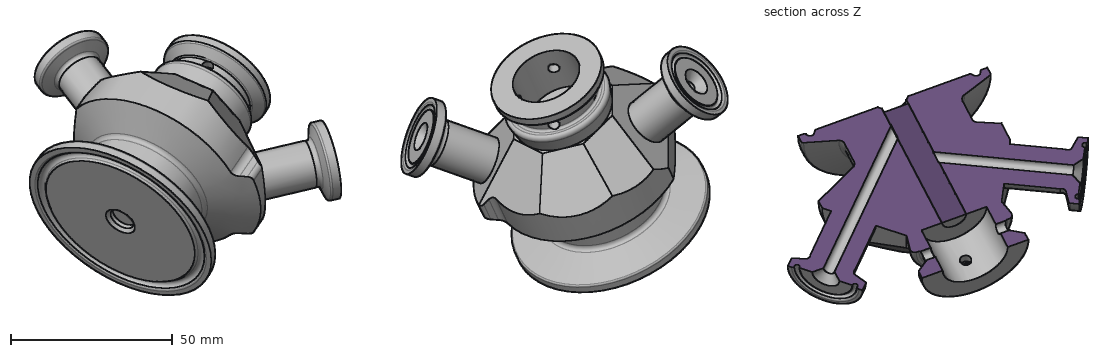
import cadquery as cq
import math

LENGTH = 64.0

TANK_FLANGE_R = 64.0 / 2
TANK_FLANGE_THICK = 2.5
TANK_CONE_START_R = 31.5
TANK_CONE_START_Y = 3.1
TANK_CONE_TOP_R = 21.2
TANK_CONE_TOP_Y = 6.7
NECK_R = 40.0 / 2
NECK_START_Y = 8.5
NECK_END_Y = 15.9
BODY_CONE_R = 21.1
BODY_CONE_Y = 17.4
BODY_CONE_SLOPE = 0.5

BODY_R = 62.1 / 2
LOBE_R = 35.9
LOBE_HALF_WIDTH = 14.6
LOBE_ROOT_FILLET = 3.1
LOBE_CORNER_FILLET = 2.1
EDGE_SEARCH = 1.0
SIDE_FLAT_X = -27.7
SHOULDER_Y = 47.6
SHOULDER_APOTHEM = 16.1
FACET_COUNT = 8

COLLAR_LIP_R = 17.1
COLLAR_LIP_Y = 52.6
COLLAR_END_Y = 54.5
COLLAR_ROUND = 1.3
GROOVE_NECK_R = 14.1
GROOVE_NECK_END_Y = 58.1
GROOVE_FILLET = 0.8
REAR_CONE_START_R = 14.5
REAR_CONE_START_Y = 58.7
REAR_CONE_END_R = 17.6
REAR_CONE_END_Y = 60.9
REAR_FLANGE_R = 36.0 / 2
REAR_FLANGE_START_Y = 61.4

REAR_BORE_R = 21.8 / 2
STEM_R = 8.0 / 2
SEAT_R = 5.1
SEAT_DEPTH = 1.0
STEM_TIP_Y = 2.5
VENT_D = 3.5
VENT_Y = 56.5
VENT_COUNT = 4

TANK_SEAL_OUTER_R = 30.2
TANK_SEAL_INNER_R = 26.2
PORT_SEAL_OUTER_R = 11.2
PORT_SEAL_INNER_R = 8.2
PORT_RECESS = 0.6
SEAL_DEPTH = 1.6
SEAL_LIP = 0.8
SEAL_LIP_DEPTH = 0.4
SEAL_INNER_RUN = 0.6

PORT_TUBE_R = 7.5
PORT_FLANGE_R = 25.0 / 2
PORT_FLANGE_THICK = 2.8
PORT_CONE_START_R = 11.9
PORT_CONE_START = 3.4
PORT_CONE_END_R = 8.2
PORT_CONE_END = 4.7
PORT_TUBE_START = 6.5
PORT_MOUTH_R = 4.5
PORT_BORE_R = 1.8
LEFT_TILT = 30.0
LEFT_AXIS_Y = 22.0
LEFT_REACH = 50.6
RIGHT_TILT = 45.0
RIGHT_AXIS_Y = 6.6
RIGHT_REACH = 64.3


def revolve_about_y(outline):
    """Revolve a closed half outline in the XY plane about the Y axis."""
    return outline.close().revolve(360, (0, 0, 0), (0, 1, 0))


def cone_y(radius):
    """Y of the front cone of the body at a given radius."""
    return BODY_CONE_Y + BODY_CONE_SLOPE * (radius - BODY_CONE_R)


def body_revolution(radius):
    """Neck, front cone and cylinder of the body, out to the given radius."""
    return revolve_about_y(
        cq.Workplane("XY")
        .moveTo(0, NECK_START_Y)
        .lineTo(NECK_R, NECK_START_Y)
        .lineTo(NECK_R, NECK_END_Y)
        .tangentArcPoint((BODY_CONE_R, BODY_CONE_Y), relative=False)
        .lineTo(radius, cone_y(radius))
        .lineTo(radius, SHOULDER_Y)
        .lineTo(0, SHOULDER_Y)
    )


def facet_cutter(azimuth, tilt):
    """Block outside one sloping facet; azimuth is about Y from +X, tilt is the normal's lift towards +Y."""
    turn = math.radians(azimuth)
    lift = math.radians(tilt)
    outward = (math.cos(turn), 0, math.sin(turn))
    normal = (outward[0] * math.cos(lift), math.sin(lift), outward[2] * math.cos(lift))
    origin = (outward[0] * SHOULDER_APOTHEM, SHOULDER_Y, outward[2] * SHOULDER_APOTHEM)
    across = (-outward[2], 0, outward[0])
    plane = cq.Plane(origin=origin, xDir=across, normal=normal)
    return cq.Workplane(plane).rect(3 * LENGTH, 3 * LENGTH).extrude(LENGTH)


def fillet_lobe_edges(plan, x, sign, radius):
    """Round the lengthwise edge of a plan block at the given X on one side of the lobe."""
    z = sign * LOBE_HALF_WIDTH
    low = (x - EDGE_SEARCH, 0, z - EDGE_SEARCH)
    high = (x + EDGE_SEARCH, LENGTH, z + EDGE_SEARCH)
    near_edge = cq.selectors.BoxSelector(low, high)
    return plan.edges("|Y").edges(near_edge).fillet(radius)


def make_plan_block():
    """Body circle with the lobe on its +X side, as a full-length block along Y."""
    lobe = cq.Workplane("XZ").center(LOBE_R / 2, 0).rect(LOBE_R, 2 * LOBE_HALF_WIDTH).extrude(-LENGTH)
    lobe = lobe.intersect(cq.Workplane("XZ").circle(LOBE_R).extrude(-LENGTH))
    plan = cq.Workplane("XZ").circle(BODY_R).extrude(-LENGTH).union(lobe)
    root_x = math.sqrt(BODY_R**2 - LOBE_HALF_WIDTH**2)
    corner_x = math.sqrt(LOBE_R**2 - LOBE_HALF_WIDTH**2)
    for sign in (-1, 1):
        plan = fillet_lobe_edges(plan, root_x, sign, LOBE_ROOT_FILLET)
        plan = fillet_lobe_edges(plan, corner_x, sign, LOBE_CORNER_FILLET)
    return plan


def make_faceted_body():
    body = body_revolution(LOBE_R).intersect(make_plan_block())

    for index in range(FACET_COUNT):
        azimuth = index * 360 / FACET_COUNT
        tilt = LEFT_TILT if azimuth == 180 else RIGHT_TILT
        body = body.cut(facet_cutter(azimuth, tilt))

    flat_cutter = cq.Workplane("XY").box(LENGTH, 2 * LENGTH, 2 * LENGTH)
    return body.cut(flat_cutter.translate((SIDE_FLAT_X - LENGTH / 2, 0, 0)))


def make_tank_flange():
    return revolve_about_y(
        cq.Workplane("XY")
        .lineTo(TANK_FLANGE_R, 0)
        .lineTo(TANK_FLANGE_R, TANK_FLANGE_THICK)
        .tangentArcPoint((TANK_CONE_START_R, TANK_CONE_START_Y), relative=False)
        .lineTo(TANK_CONE_TOP_R, TANK_CONE_TOP_Y)
        .tangentArcPoint((NECK_R, NECK_START_Y), relative=False)
        .lineTo(NECK_R, NECK_END_Y)
        .lineTo(0, NECK_END_Y)
    )


def make_rear_connection():
    return revolve_about_y(
        cq.Workplane("XY")
        .moveTo(0, SHOULDER_Y)
        .lineTo(SHOULDER_APOTHEM, SHOULDER_Y)
        .lineTo(COLLAR_LIP_R, COLLAR_LIP_Y)
        .tangentArcPoint((COLLAR_LIP_R - COLLAR_ROUND, COLLAR_END_Y), relative=False)
        .lineTo(GROOVE_NECK_R + GROOVE_FILLET, COLLAR_END_Y)
        .tangentArcPoint((GROOVE_NECK_R, COLLAR_END_Y + GROOVE_FILLET), relative=False)
        .lineTo(GROOVE_NECK_R, GROOVE_NECK_END_Y)
        .tangentArcPoint((REAR_CONE_START_R, REAR_CONE_START_Y), relative=False)
        .lineTo(REAR_CONE_END_R, REAR_CONE_END_Y)
        .tangentArcPoint((REAR_FLANGE_R, REAR_FLANGE_START_Y), relative=False)
        .lineTo(REAR_FLANGE_R, LENGTH)
        .lineTo(0, LENGTH)
    )


def seal_groove(outer_r, inner_r):
    """Gasket groove about Y, cut into a face at Y = 0 and running towards +Y."""
    floor_r = inner_r + SEAL_INNER_RUN
    lip_r = outer_r - SEAL_LIP
    middle_r = (lip_r + floor_r) / 2
    return revolve_about_y(
        cq.Workplane("XY")
        .moveTo(inner_r, 0)
        .lineTo(floor_r, SEAL_DEPTH / 2)
        .threePointArc((middle_r, SEAL_DEPTH), (lip_r, SEAL_LIP_DEPTH))
        .threePointArc((outer_r - SEAL_LIP / 2, SEAL_LIP_DEPTH / 4), (outer_r, 0))
    )


def place_port(shape, side, tilt, axis_y, reach):
    """Move a shape with its face at Y = 0, body towards +Y, to the end of a port."""
    turn = side * (90 + tilt)
    angle = math.radians(tilt)
    face = (side * reach * math.cos(angle), axis_y + reach * math.sin(angle), 0)
    return shape.rotate((0, 0, 0), (0, 0, 1), turn).translate(face)


def port_outside(length):
    """Port flange and tube with its gasket groove."""
    port = revolve_about_y(
        cq.Workplane("XY")
        .lineTo(PORT_FLANGE_R, 0)
        .lineTo(PORT_FLANGE_R, PORT_FLANGE_THICK)
        .tangentArcPoint((PORT_CONE_START_R, PORT_CONE_START), relative=False)
        .lineTo(PORT_CONE_END_R, PORT_CONE_END)
        .tangentArcPoint((PORT_TUBE_R, PORT_TUBE_START), relative=False)
        .lineTo(PORT_TUBE_R, length)
        .lineTo(0, length)
    )
    inner_face_r = PORT_SEAL_INNER_R + SEAL_INNER_RUN * PORT_RECESS / (SEAL_DEPTH / 2)
    recess = cq.Workplane("XZ").circle(inner_face_r).extrude(-PORT_RECESS)
    return port.cut(seal_groove(PORT_SEAL_OUTER_R, PORT_SEAL_INNER_R)).cut(recess)


def port_bore(length):
    """Conical mouth at 45 degrees, then a straight bore."""
    return revolve_about_y(
        cq.Workplane("XY")
        .lineTo(PORT_MOUTH_R, 0)
        .lineTo(PORT_MOUTH_R, PORT_RECESS)
        .lineTo(PORT_BORE_R, PORT_RECESS + PORT_MOUTH_R - PORT_BORE_R)
        .lineTo(PORT_BORE_R, length)
        .lineTo(0, length)
    )


def make_central_bore():
    """Conical seat, stem bore and the wide bore open at the back."""
    return revolve_about_y(
        cq.Workplane("XY")
        .lineTo(SEAT_R, 0)
        .lineTo(STEM_R, SEAT_DEPTH)
        .lineTo(STEM_R, SHOULDER_Y)
        .lineTo(REAR_BORE_R, SHOULDER_Y)
        .lineTo(REAR_BORE_R, LENGTH)
        .lineTo(0, LENGTH)
    )


def make_housing():
    housing = make_faceted_body().union(make_tank_flange()).union(make_rear_connection())
    ports = (
        (-1, LEFT_TILT, LEFT_AXIS_Y, LEFT_REACH),
        (1, RIGHT_TILT, RIGHT_AXIS_Y, RIGHT_REACH),
    )
    for side, tilt, axis_y, reach in ports:
        tube = port_outside(reach / 2 + PORT_TUBE_R)
        housing = housing.union(place_port(tube, side, tilt, axis_y, reach))
    for side, tilt, axis_y, reach in ports:
        housing = housing.cut(place_port(port_bore(reach), side, tilt, axis_y, reach))

    housing = housing.cut(seal_groove(TANK_SEAL_OUTER_R, TANK_SEAL_INNER_R))
    housing = housing.cut(make_central_bore())
    for index in range(VENT_COUNT):
        vent = cq.Workplane("XY").center(0, VENT_Y).circle(VENT_D / 2).extrude(REAR_FLANGE_R)
        housing = housing.cut(vent.rotate((0, 0, 0), (0, 1, 0), index * 360 / VENT_COUNT))
    return housing


def make_stem():
    """Plain valve stem that fills the stem bore behind the seat."""
    return cq.Workplane("XZ", origin=(0, STEM_TIP_Y, 0)).circle(STEM_R).extrude(STEM_TIP_Y - SHOULDER_Y)


housing = make_housing()
stem = make_stem()
result = cq.Compound.makeCompound([housing.val(), stem.val()])